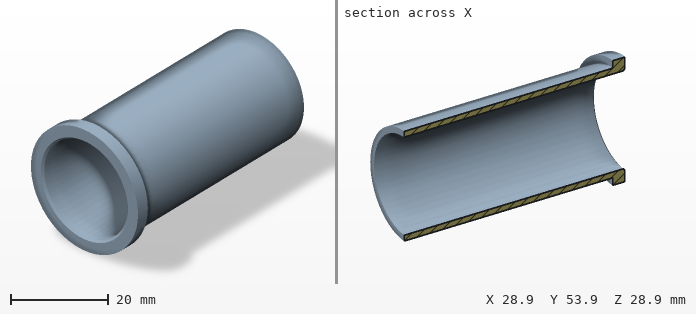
import cadquery as cq

length = 53.85
flange_diameter = 28.9
flange_thickness = 3.05
tube_diameter = 25.45
bore_diameter = 22.55
bore_chamfer = 0.5

front_y = -length / 2

front_plane = cq.Workplane("XZ", origin=(0, front_y, 0))

tube = front_plane.circle(tube_diameter / 2).extrude(-length)
flange = front_plane.circle(flange_diameter / 2).extrude(-flange_thickness)
bore = front_plane.circle(bore_diameter / 2).extrude(-length)

sleeve = tube.union(flange).cut(bore)

bore_mouth = sleeve.faces("<Y").edges(cq.selectors.RadiusNthSelector(0))
result = bore_mouth.chamfer(bore_chamfer)